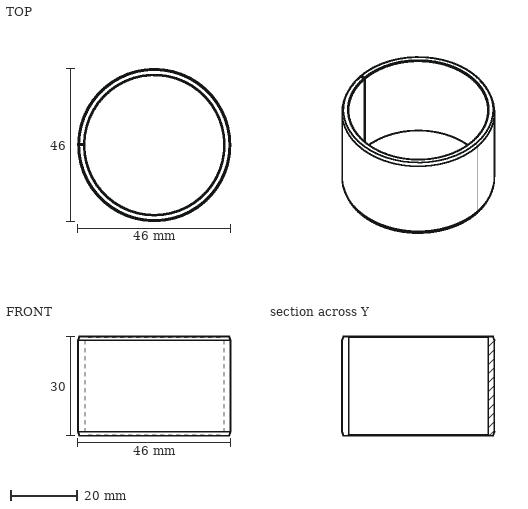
import cadquery as cq

outer_diameter = 46.0
bore_diameter = 42.0
height = 30.0
outer_chamfer_height = 1.2
outer_chamfer_width = 0.4
bore_chamfer = 0.28
slit_width = 0.35

outer_radius = outer_diameter / 2
bore_radius = bore_diameter / 2
half_height = height / 2


def make_ring():
    """Revolve the wall section, chamfered at both ends, about Z."""
    wall_section = [
        (bore_radius, -half_height + bore_chamfer),
        (bore_radius + bore_chamfer, -half_height),
        (outer_radius - outer_chamfer_width, -half_height),
        (outer_radius, -half_height + outer_chamfer_height),
        (outer_radius, half_height - outer_chamfer_height),
        (outer_radius - outer_chamfer_width, half_height),
        (bore_radius + bore_chamfer, half_height),
        (bore_radius, half_height - bore_chamfer),
    ]
    return cq.Workplane("XZ").polyline(wall_section).close().revolve(360, (0, 0), (0, 1))


def make_slit():
    """Full-height cut through the -X wall, with one face on the Y = 0 plane."""
    return cq.Workplane("XY").box(
        outer_diameter, slit_width, 2 * height, centered=(False, False, True)
    ).translate((-outer_diameter, 0, 0))


result = make_ring().cut(make_slit())